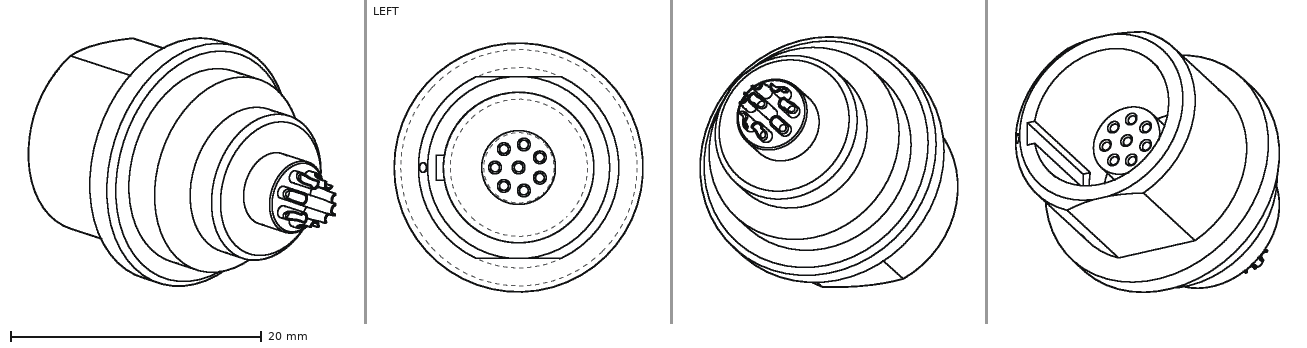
import cadquery as cq
import math


flange_front = 10.0
flange_back = 12.5
cone_start = 15.5
cone_end = 17.5
shell_back = 20.5

body_radius = 8.0
flange_radius = 9.95
rear_radius = 5.99
front_chamfer = 0.73
rear_chamfer = 0.5
flat_height = 7.25

socket_radius = 6.0
socket_depth = flange_back
keyway_width = 2.0
keyway_depth = flange_front
keyway_radius = 6.58

dimple_diameter = 0.75

insulator_radius = 2.95
insulator_front = 4.55
insulator_back = 23.7
insulator_chamfer = 0.15

ring_count = 7
ring_radius = 1.88
ring_contact_end = 26.1
centre_contact_end = 28.1
contact_radius = 0.98 / 2
contact_embed = 1.4
contact_bore_radius = 0.7 / 2
contact_bore_depth = 2.8
countersink_radius = 0.5

cup_length = 1.8
cup_bore_depth = 1.97
cup_run_out_radius = 1.55


def rod(x_start, x_end, radius):
    """Round bar along the axis."""
    return (
        cq.Workplane("YZ", origin=(x_start, 0, 0))
        .circle(radius)
        .extrude(x_end - x_start)
    )


def turned(half_profile):
    """Solid of revolution about the axis from (x, radius) points."""
    return cq.Workplane("XY").polyline(half_profile).close().revolve(360, (0, 0, 0), (1, 0, 0))


def make_shell():
    outline = [
        (0, 0),
        (0, body_radius - front_chamfer),
        (front_chamfer, body_radius),
        (flange_front, body_radius),
        (flange_front, flange_radius),
        (flange_back - rear_chamfer, flange_radius),
        (flange_back, flange_radius - rear_chamfer),
        (flange_back, body_radius),
        (cone_start, body_radius),
        (cone_end, rear_radius),
        (shell_back - rear_chamfer, rear_radius),
        (shell_back, rear_radius - rear_chamfer),
        (shell_back, 0),
    ]
    shell = turned(outline)

    flat_cut = body_radius - flat_height
    for side in (1, -1):
        slab = cq.Workplane("XY").box(
            flange_front, 2 * body_radius, flat_cut, centered=(False, True, True)
        )
        shell = shell.cut(slab.translate((0, 0, side * (flat_height + flat_cut / 2))))

    shell = shell.cut(rod(0, socket_depth, socket_radius))
    keyway = cq.Workplane("XY").box(
        keyway_depth, keyway_radius, keyway_width, centered=(False, False, True)
    )
    shell = shell.cut(keyway)

    dimple = cq.Workplane("XY").sphere(dimple_diameter / 2)
    return shell.cut(dimple.translate((front_chamfer / 2, body_radius - front_chamfer / 2, 0)))


def make_insulator():
    insulator = rod(insulator_front, insulator_back, insulator_radius)
    return insulator.faces(">X").chamfer(insulator_chamfer)


def make_contact_tail(x_end):
    """Contact tail on the axis, with its solder cup open towards +Y."""
    tail = rod(insulator_back - contact_embed, x_end, contact_radius)
    tail = tail.cut(rod(x_end - cup_bore_depth, x_end, contact_bore_radius))

    run_out_angle = math.acos(1 - contact_radius / cup_run_out_radius)
    run_out_length = cup_run_out_radius * math.sin(run_out_angle)
    x_run_out = x_end - cup_length
    x_flat = x_run_out + run_out_length
    arc_middle = (
        x_flat - cup_run_out_radius * math.sin(run_out_angle / 2),
        cup_run_out_radius * (1 - math.cos(run_out_angle / 2)),
    )
    opening = (
        cq.Workplane("XY")
        .moveTo(x_end, 0)
        .lineTo(x_flat, 0)
        .threePointArc(arc_middle, (x_run_out, contact_radius))
        .lineTo(x_end, contact_radius)
        .close()
        .extrude(contact_radius, both=True)
    )
    return tail.cut(opening)


def make_contact_hole():
    """Contact bore sunk into the front of the insulator, on the axis, with a 45 degree countersink."""
    x_bottom = insulator_front + contact_bore_depth
    x_taper_end = insulator_front + countersink_radius - contact_bore_radius
    half_profile = [
        (insulator_front, 0),
        (insulator_front, countersink_radius),
        (x_taper_end, contact_bore_radius),
        (x_bottom, contact_bore_radius),
        (x_bottom, 0),
    ]
    return turned(half_profile)


def ring_copies(shape):
    """Copies of an on-axis shape around the contact ring, the first one at +Y."""
    for index in range(ring_count):
        angle = index * 360 / ring_count
        yield shape.translate((0, ring_radius, 0)).rotate((0, 0, 0), (1, 0, 0), angle)


result = make_shell().union(make_insulator())

result = result.union(make_contact_tail(centre_contact_end))
for ring_tail in ring_copies(make_contact_tail(ring_contact_end)):
    result = result.union(ring_tail)

contact_hole = make_contact_hole()
result = result.cut(contact_hole)
for ring_hole in ring_copies(contact_hole):
    result = result.cut(ring_hole)